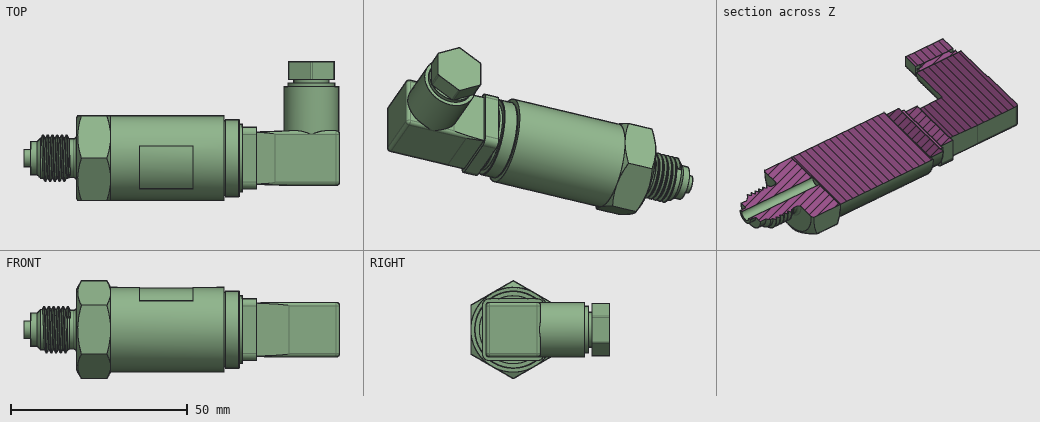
import cadquery as cq
import math


overall_width = 39.25
half_hex_sector = 30.0

tip_end = 1.9
pilot_end = 3.8
neck_end = 14.85
hex_end = 24.55
tube_end = 56.65
cap_end = 60.97
gasket_end = 61.77
base_end = 65.8
housing_end = 89.28

tip_diameter = 5.0
port_diameter = 3.3
pilot_diameter = 9.5
thread_major = 13.157
thread_minor = 11.445
thread_pitch = 1.337
thread_crest_width = thread_pitch / 6
thread_half_angle = 27.5
thread_root_overlap = 0.02
thread_turns = 5.4
thread_start = 5.436
thread_start_angle = 90.0
core_end = 12.4
neck_diameter = 11.0
neck_start = 12.95
neck_fillet = 0.8

hex_across_flats = 24.0
hex_across_corners = hex_across_flats / math.cos(math.radians(half_hex_sector))
hex_face_diameter = 22.7
hex_chamfer_angle = 30.0

tube_diameter = 24.0
label_start = 32.65
label_end = 47.75
label_depth = 0.2
label_first_angle = 17.0
label_last_angle = -46.2

cap_diameter = 21.85
cap_groove_diameter = 21.2
cap_groove_width = 0.3
cap_edge = 0.25
gasket_diameter = 19.2

base_width = 17.5
base_corner_radius = 2.0
housing_width = 15.5
housing_edge_radius = 1.0
taper_angle = 2.0
taper_end_on_z_faces = 70.95
taper_end_on_y_faces = 75.0

gland_x = 81.27
gland_diameter = housing_width
gland_end = 20.2
collar_diameter = 13.3
collar_end = 21.3
gland_neck_diameter = 10.0
gland_neck_end = 22.2
nut_across_flats = 13.0
nut_corner_radius = 0.5
nut_end = overall_width - hex_across_flats / 2


def disc(diameter, start, end):
    """Cylinder on the X axis between two stations."""
    return cq.Workplane("YZ", origin=(start, 0, 0)).circle(diameter / 2).extrude(end - start)


def gland_disc(diameter, start, end):
    """Cylinder on the gland axis between two Y positions."""
    return (
        cq.Workplane("XZ", origin=(gland_x, start, 0))
        .circle(diameter / 2)
        .extrude(start - end)
    )


def turned(points):
    """Solid of revolution about the X axis from (x, radius) points."""
    return cq.Workplane("XY").polyline(points).close().revolve(360, (0, 0, 0), (1, 0, 0))


def make_thread_ridge():
    """Helical thread ridge, rooted slightly inside the core."""
    crest_radius = thread_major / 2
    root_radius = thread_minor / 2 - thread_root_overlap
    crest_half_width = thread_crest_width / 2
    flank_width = (crest_radius - root_radius) * math.tan(math.radians(thread_half_angle))
    root_half_width = crest_half_width + flank_width
    helix = cq.Wire.makeHelix(thread_pitch, thread_turns * thread_pitch, root_radius)
    ridge = (
        cq.Workplane("XZ")
        .polyline([
            (root_radius, -root_half_width),
            (crest_radius, -crest_half_width),
            (crest_radius, crest_half_width),
            (root_radius, root_half_width),
        ])
        .close()
        .sweep(cq.Workplane(helix), isFrenet=True)
    )
    return (
        ridge.rotate((0, 0, 0), (0, 0, 1), thread_start_angle)
        .rotate((0, 0, 0), (0, 1, 0), 90)
        .translate((thread_start, 0, 0))
    )


def make_stud():
    """Tip, pilot, threaded core and relief neck, with a fillet into the hexagon."""
    pilot_radius = pilot_diameter / 2
    neck_radius = neck_diameter / 2
    core_radius = thread_minor / 2
    core = turned([
        (pilot_end, 0),
        (pilot_end, pilot_radius),
        (pilot_end + core_radius - pilot_radius, core_radius),
        (core_end, core_radius),
        (neck_start, neck_radius),
        (neck_start, 0),
    ])
    thread = core.union(make_thread_ridge())
    neck = (
        cq.Workplane("XY")
        .moveTo(neck_start, 0)
        .lineTo(neck_start, neck_radius)
        .lineTo(neck_end - neck_fillet, neck_radius)
        .radiusArc((neck_end, neck_radius + neck_fillet), -neck_fillet)
        .lineTo(neck_end, 0)
        .close()
        .revolve(360, (0, 0, 0), (1, 0, 0))
    )
    tip = disc(tip_diameter, 0, tip_end)
    pilot = disc(pilot_diameter, tip_end, pilot_end)
    return thread.union(neck).union(pilot).union(tip)


def make_hexagon():
    """Hexagon with corners up and down, turned to a cone at both ends."""
    prism = (
        cq.Workplane("YZ", origin=(neck_end, 0, 0))
        .polygon(6, hex_across_corners)
        .extrude(hex_end - neck_end)
        .rotate((0, 0, 0), (1, 0, 0), half_hex_sector)
    )
    slope = math.tan(math.radians(hex_chamfer_angle))
    corner_radius = hex_across_corners / 2
    front_radius = hex_face_diameter / 2
    rear_radius = tube_diameter / 2
    envelope = turned([
        (neck_end, 0),
        (neck_end, front_radius),
        (neck_end + (corner_radius - front_radius) * slope, corner_radius),
        (hex_end - (corner_radius - rear_radius) * slope, corner_radius),
        (hex_end, rear_radius),
        (hex_end, 0),
    ])
    return prism.intersect(envelope)


def make_fitting():
    """Hexagon and threaded stud in one piece, bored through by the pressure port."""
    port = disc(port_diameter, 0, hex_end)
    return make_hexagon().union(make_stud()).cut(port)


def make_tube():
    """Tube body with a shallow curved panel sunk into its upper front side."""
    radius = tube_diameter / 2
    floor_radius = radius - label_depth
    label = (
        cq.Workplane("XZ")
        .moveTo(label_start, floor_radius)
        .lineTo(label_end, floor_radius)
        .lineTo(label_end, radius + label_depth)
        .lineTo(label_start, radius + label_depth)
        .close()
        .revolve(label_first_angle - label_last_angle, (0, 0, 0), (1, 0, 0))
        .rotate((0, 0, 0), (1, 0, 0), -label_first_angle)
    )
    return disc(tube_diameter, hex_end, tube_end).cut(label)


def make_cap():
    """Cap disc with a shallow groove against the tube end and a narrow edge cone."""
    radius = cap_diameter / 2
    groove_radius = cap_groove_diameter / 2
    groove_end = tube_end + cap_groove_width
    return turned([
        (tube_end, 0),
        (tube_end, groove_radius),
        (groove_end, groove_radius),
        (groove_end, radius),
        (cap_end - cap_edge, radius),
        (cap_end, radius - cap_edge / 2),
        (cap_end, 0),
    ])


def make_base():
    """Square plug base with rounded corners."""
    return (
        cq.Workplane("YZ", origin=(gasket_end, 0, 0))
        .rect(base_width, base_width)
        .extrude(base_end - gasket_end)
        .edges("|X")
        .fillet(base_corner_radius)
    )


def taper_cut(taper_end):
    """Wedge that tapers the top (+Z) housing face down toward the base."""
    half_width = housing_width / 2
    length = taper_end - base_end
    drop = length * math.tan(math.radians(taper_angle))
    return (
        cq.Workplane("XZ")
        .polyline([
            (base_end, half_width - drop),
            (taper_end, half_width),
            (base_end, half_width),
        ])
        .close()
        .extrude(half_width, both=True)
    )


def make_housing():
    """Square plug housing, tapered toward the base, with the gland barrel on its +Y side."""
    housing = (
        cq.Workplane("YZ", origin=(base_end, 0, 0))
        .rect(housing_width, housing_width)
        .extrude(housing_end - base_end)
        .edges("|X or >X")
        .fillet(housing_edge_radius)
    )
    for angle in range(0, 360, 90):
        taper_end = taper_end_on_y_faces if angle % 180 else taper_end_on_z_faces
        wedge = taper_cut(taper_end).rotate((0, 0, 0), (1, 0, 0), angle)
        housing = housing.cut(wedge)
    barrel = gland_disc(gland_diameter, 0, gland_end)
    return housing.union(barrel)


def make_collar():
    """Gland collar with the thinner neck that carries the nut."""
    collar = gland_disc(collar_diameter, gland_end, collar_end)
    return collar.union(gland_disc(gland_neck_diameter, collar_end, gland_neck_end))


def make_nut():
    """Hexagonal gland nut with rounded corners, corners up and down."""
    corner_diameter = nut_across_flats / math.cos(math.radians(half_hex_sector))
    return (
        cq.Workplane("XZ", origin=(gland_x, gland_neck_end, 0))
        .transformed(rotate=(0, 0, half_hex_sector))
        .polygon(6, corner_diameter)
        .extrude(gland_neck_end - nut_end)
        .edges("|Y")
        .fillet(nut_corner_radius)
    )


fitting = make_fitting()
tube = make_tube()
cap = make_cap()
gasket = disc(gasket_diameter, cap_end, gasket_end)
base = make_base()
housing = make_housing()
collar = make_collar()
nut = make_nut()

bodies = [fitting, tube, cap, gasket, base, housing, collar, nut]
result = cq.Compound.makeCompound([body.val() for body in bodies])